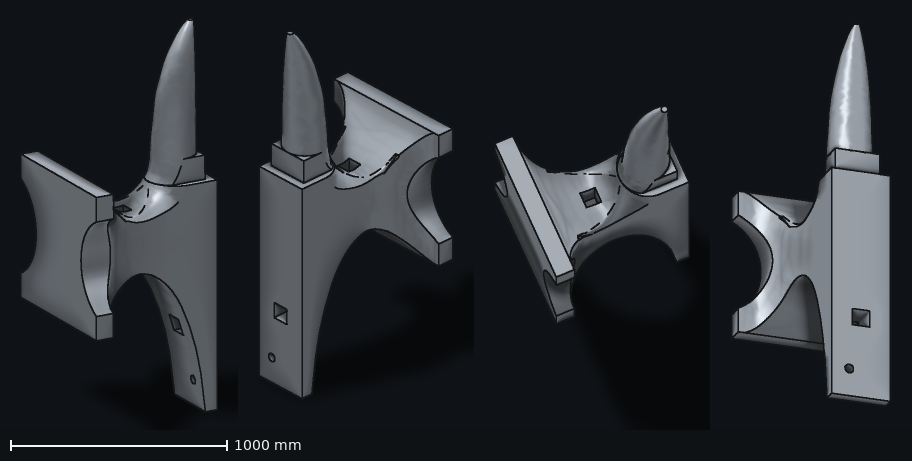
import cadquery as cq
import math


TOTAL_HEIGHT = 1880.0
TOTAL_DEPTH = 763.0

FOOT_WIDTH = 710.0
FOOT_HEIGHT = 703.0
FOOT_THICKNESS = 92.0
FOOT_MID_Z = 882.0
NOTCH_DEPTH = 145.0
NOTCH_HEIGHT = 463.0

FOOT_BACK_Y = FOOT_THICKNESS - TOTAL_DEPTH
FOOT_TOP_Z = FOOT_MID_Z + FOOT_HEIGHT / 2
FOOT_BOTTOM_Z = FOOT_MID_Z - FOOT_HEIGHT / 2
NOTCH_RADIUS = ((NOTCH_HEIGHT / 2) ** 2 + NOTCH_DEPTH ** 2) / (2 * NOTCH_DEPTH)

BODY_WIDTH = 291.0
BODY_TOP_Z = 1126.0
HEEL_TIP_THICKNESS = 64.0
WAIST_Y = -417.0
WAIST_HALF_HEIGHT = 137.0
WAIST_MID_Z = 875.0
TAPER_START_Y = -282.0
TAPER_END_Y = -508.0
TAPER_END_WIDTH = 335.0
FLARE_END_WIDTH = 650.0
FLARE_END_SLOPE = 6.0

HORN_BACK_Y = -45.0
STEP_WIDTH = 220.0
STEP_TOP_Z = 1245.0
HORN_ROOT_DIAMETER = 245.0
HORN_SECTIONS = [
    (1175.0, 228.0),
    (STEP_TOP_Z, STEP_WIDTH),
    (1410.0, 207.0),
    (1545.0, 188.0),
    (1673.0, 152.0),
    (1786.0, 102.0),
    (1852.0, 58.0),
    (TOTAL_HEIGHT, 32.0),
]

THROAT_ROUND_FADE = 3.0
THROAT_ROUND_STATIONS = [0.0, 0.06, 0.12, 0.2, 0.3, 0.4, 0.5, 0.6, 0.68]
CUT_MARGIN = 28.0

HARDY_SIZE = 75.0
HARDY_Y = -435.0
HARDY_FLOOR_Z = 865.0
WINDOW_WIDTH = 86.0
WINDOW_HEIGHT = 80.0
WINDOW_Z = 397.0
WINDOW_CORNER_RADIUS = 8.0
PIN_DIAMETER = 41.0
PIN_X = 58.0
PIN_Z = 135.0

HORN_ROOT_Y = HORN_BACK_Y - HORN_ROOT_DIAMETER

THROAT_POINTS = [
    (HORN_ROOT_Y, BODY_TOP_Z),
    (-342.0, 1044.0),
    (WAIST_Y, WAIST_MID_Z + WAIST_HALF_HEIGHT),
    (-541.0, 1068.0),
    (-626.0, 1150.0),
    (FOOT_BACK_Y, FOOT_TOP_Z),
]
HEEL_CURVE_POINTS = [
    (-570.0, 658.0),
    (WAIST_Y, WAIST_MID_Z - WAIST_HALF_HEIGHT),
    (-285.0, 673.0),
    (-173.0, 496.0),
    (-105.0, 282.0),
    (-HEEL_TIP_THICKNESS, 0),
]
FLARE_POINTS = [
    (BODY_WIDTH / 2, TAPER_START_Y),
    (TAPER_END_WIDTH / 2, TAPER_END_Y),
    (185.0, -565.0),
    (225.0, -622.0),
    (FLARE_END_WIDTH / 2, FOOT_BACK_Y),
]


def make_foot():
    """Rectangular plate at the front of the body."""
    return cq.Workplane("XY").box(
        FOOT_WIDTH, FOOT_THICKNESS, FOOT_HEIGHT
    ).translate((0, FOOT_BACK_Y - FOOT_THICKNESS / 2, FOOT_MID_Z))


def make_foot_notches():
    """Cylinders that scoop the two sides of the foot and the flare behind it."""
    center_x = FOOT_WIDTH / 2 - NOTCH_DEPTH + NOTCH_RADIUS
    return (
        cq.Workplane("XZ", origin=(0, TAPER_END_Y, FOOT_MID_Z))
        .pushPoints([(-center_x, 0), (center_x, 0)])
        .circle(NOTCH_RADIUS)
        .extrude(TOTAL_DEPTH)
    )


def make_body():
    """Side outline of heel and waist, limited in width by the flaring plan outline."""
    side = (
        cq.Workplane("YZ", origin=(-FOOT_WIDTH / 2, 0, 0))
        .lineTo(0, BODY_TOP_Z)
        .lineTo(*THROAT_POINTS[0])
        .spline(THROAT_POINTS[1:], includeCurrent=True)
        .lineTo(FOOT_BACK_Y, FOOT_BOTTOM_Z)
        .spline(HEEL_CURVE_POINTS, includeCurrent=True)
        .close()
        .extrude(FOOT_WIDTH)
    )
    right_tangents = [(0, -1), (FLARE_END_SLOPE, -1)]
    left_tangents = [(FLARE_END_SLOPE, 1), (0, 1)]
    left_flare = [(-x, y) for x, y in reversed(FLARE_POINTS)]
    plan = (
        cq.Workplane("XY")
        .moveTo(-BODY_WIDTH / 2, 0)
        .lineTo(BODY_WIDTH / 2, 0)
        .lineTo(*FLARE_POINTS[0])
        .spline(FLARE_POINTS[1:], tangents=right_tangents, includeCurrent=True)
        .lineTo(*left_flare[0])
        .spline(left_flare[1:], tangents=left_tangents, includeCurrent=True)
        .close()
        .extrude(TOTAL_HEIGHT)
    )
    return side.intersect(plan)


def body_half_width(y):
    """Half width of the body between the heel and the end of its taper."""
    taper = max(0, (TAPER_START_Y - y) / (TAPER_START_Y - TAPER_END_Y))
    return (BODY_WIDTH + taper * (TAPER_END_WIDTH - BODY_WIDTH)) / 2


def throat_corner_section(throat, station):
    """Waste outside the rounded edge, in the plane square to the throat curve.

    The first section is level, so that the body's top face ends in a half circle.
    """
    point = throat.positionAt(station)
    along = throat.tangentAt(station) if station > 0 else cq.Vector(0, 0, -1)
    side = body_half_width(point.y)
    radius = BODY_WIDTH / 2 * (1 - station) ** THROAT_ROUND_FADE
    bulge = radius * (1 - math.sqrt(0.5))
    plane = cq.Plane(origin=point, xDir=(1, 0, 0), normal=along)
    return (
        cq.Workplane(plane)
        .moveTo(side, -radius)
        .threePointArc((side - bulge, -bulge), (side - radius, 0))
        .lineTo(side - radius, CUT_MARGIN)
        .lineTo(side + CUT_MARGIN, CUT_MARGIN)
        .lineTo(side + CUT_MARGIN, -radius)
        .close()
        .val()
    )


def make_throat_rounding():
    """Waste along both throat edges, lofted with a shrinking radius."""
    throat = cq.Edge.makeSpline([cq.Vector(0, y, z) for y, z in THROAT_POINTS])
    sections = [throat_corner_section(throat, s) for s in THROAT_ROUND_STATIONS]
    corner = cq.Workplane(cq.Solid.makeLoft(sections))
    return corner.union(corner.mirror("YZ"))


def make_horn():
    """Round horn with a straight back line, trimmed flat to the width of the step."""
    sections = []
    for z, diameter in [(BODY_TOP_Z, HORN_ROOT_DIAMETER)] + HORN_SECTIONS:
        center = cq.Vector(0, HORN_BACK_Y - diameter / 2, z)
        sections.append(cq.Wire.makeCircle(diameter / 2, center, cq.Vector(0, 0, 1)))
    horn = cq.Workplane(cq.Solid.makeLoft(sections))
    trim = cq.Workplane("XY").box(STEP_WIDTH, 2 * TOTAL_DEPTH, 2 * TOTAL_HEIGHT)
    return horn.intersect(trim)


def make_step():
    """Square table between the body and the horn, reaching to the horn's middle."""
    depth = STEP_WIDTH / 2
    height = STEP_TOP_Z - BODY_TOP_Z
    return cq.Workplane("XY").box(STEP_WIDTH, depth, height).translate(
        (0, HORN_BACK_Y - depth / 2, BODY_TOP_Z + height / 2)
    )


def make_hardy_hole():
    """Blind square hole in the throat."""
    return (
        cq.Workplane("XY", origin=(0, HARDY_Y, HARDY_FLOOR_Z))
        .rect(HARDY_SIZE, HARDY_SIZE)
        .extrude(FOOT_TOP_Z - HARDY_FLOOR_Z)
    )


def make_heel_holes():
    """Square window and round pin hole through the heel."""
    window = (
        cq.Workplane("XZ", origin=(0, 0, WINDOW_Z))
        .rect(WINDOW_WIDTH, WINDOW_HEIGHT)
        .extrude(-FOOT_BACK_Y)
        .edges("|Y")
        .edges(">Z")
        .fillet(WINDOW_CORNER_RADIUS)
    )
    pin = (
        cq.Workplane("XZ", origin=(PIN_X, 0, PIN_Z))
        .circle(PIN_DIAMETER / 2)
        .extrude(-FOOT_BACK_Y)
    )
    return window.union(pin)


result = (
    make_body()
    .cut(make_throat_rounding())
    .union(make_foot())
    .cut(make_foot_notches())
    .union(make_step())
    .union(make_horn())
    .cut(make_hardy_hole())
    .cut(make_heel_holes())
)